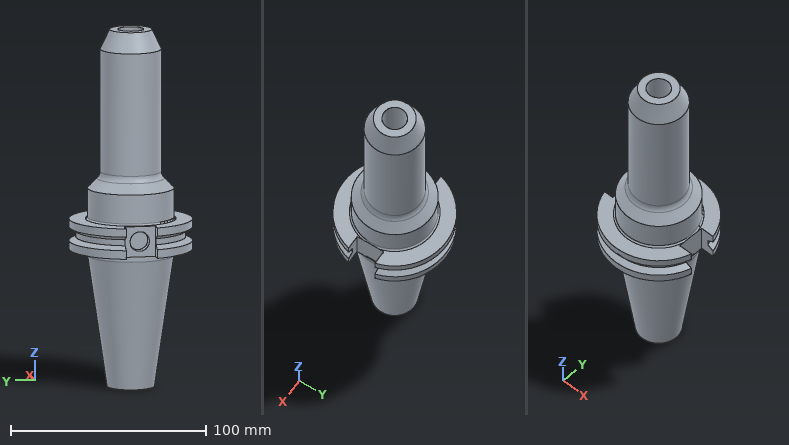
import cadquery as cq
import math

taper_length = 68.4
taper_small_radius = 12.3
body_radius = 22.3

flange_radius = 31.8
flange_bottom = 71.5
flange_top = 87.3
groove_radius = 28.2
groove_center = 79.5
groove_outer_width = 7.0
groove_floor_width = 3.2
flange_fillet = 1.0

shoulder_bottom = 103.3
neck_radius = 15.8
shoulder_fillet = 5.0
total_height = 185.8
tip_chamfer_height = 10.2
tip_radius = 11.0
bore_radius = 6.5
bore_depth = 48.3

slot_width = 16.2
left_slot_floor = 24.9
right_slot_floor = 22.7
pocket_diameter = 10.0
pocket_depth = 4.6


def make_holder():
    """Revolve the outer half profile, drawn as (radius, height), about Z."""
    cone_tip_height = shoulder_bottom + body_radius - neck_radius
    blend_tangent = shoulder_fillet * math.tan(math.radians(45 / 2))
    blend_leg = blend_tangent * math.sin(math.radians(45))
    blend_start = (neck_radius + blend_leg, cone_tip_height - blend_leg)
    blend_end = (neck_radius, cone_tip_height + blend_tangent)

    profile = (
        cq.Workplane("XZ")
        .moveTo(0, 0)
        .lineTo(taper_small_radius, 0)
        .lineTo(body_radius, taper_length)
        .lineTo(body_radius, flange_bottom)
        .lineTo(flange_radius, flange_bottom)
        .lineTo(flange_radius, groove_center - groove_outer_width / 2)
        .lineTo(groove_radius, groove_center - groove_floor_width / 2)
        .lineTo(groove_radius, groove_center + groove_floor_width / 2)
        .lineTo(flange_radius, groove_center + groove_outer_width / 2)
        .lineTo(flange_radius, flange_top)
        .lineTo(body_radius + flange_fillet, flange_top)
        .tangentArcPoint((body_radius, flange_top + flange_fillet), relative=False)
        .lineTo(body_radius, shoulder_bottom)
        .lineTo(*blend_start)
        .tangentArcPoint(blend_end, relative=False)
        .lineTo(neck_radius, total_height - tip_chamfer_height)
        .lineTo(tip_radius, total_height)
        .lineTo(0, total_height)
        .close()
    )
    return profile.revolve(360, (0, 0, 0), (0, 1, 0))


def slot_cutter(side, floor):
    """Box removing the flange beyond the slot floor; side is -1 or +1 along X."""
    return cq.Workplane("XY").box(
        flange_radius, slot_width, flange_top + flange_fillet - flange_bottom,
        centered=(True, True, False),
    ).translate((side * (floor + flange_radius / 2), 0, flange_bottom))


def bore_cutter():
    return (
        cq.Workplane("XY", origin=(0, 0, total_height - bore_depth))
        .circle(bore_radius)
        .extrude(bore_depth)
    )


def pocket_cutter():
    return (
        cq.Workplane("YZ", origin=(-left_slot_floor, 0, groove_center))
        .circle(pocket_diameter / 2)
        .extrude(pocket_depth)
    )


result = (
    make_holder()
    .cut(slot_cutter(-1, left_slot_floor))
    .cut(slot_cutter(1, right_slot_floor))
    .cut(bore_cutter())
    .cut(pocket_cutter())
)